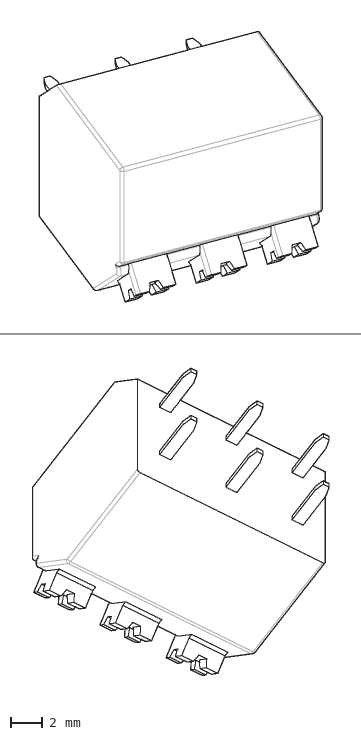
import cadquery as cq
import math

length = 17.3
width = 14.2
height = 12.7

pitch = 5.0
pole_count = 3
pole_positions = [(i - (pole_count - 1) / 2) * pitch for i in range(pole_count)]

body_left = 3.5
body_right = 16.44
top_chamfer = 2.92
slope_start = 12.13
notch_top = 5.12
edge_radius = 0.2
nose_radius = 0.52
heel_radius = 0.4

pin_width = 0.83
pin_thickness = 0.38
pin_tip_width = 0.45
pin_taper = 0.67
pin_embed = 0.67
pin_low_z = 3.13
pin_heights = [pin_low_z, pin_low_z + pitch]

lever_out = 1.49
lever_width = 2.73
lever_height = 2.7
lever_undercut = 0.25
lever_embed = 1.04
lever_edge_radius = 0.25
lever_top = (length - slope_start) * math.sqrt(2) - lever_out
lever_bottom = lever_top - lever_height
lever_wall_gap = 0.09

slot_mouth = 0.97
slot_floor = 0.59
slot_depth = 0.54
slot_below_top = 1.12
slot_centre = lever_top - slot_below_top

slope_plane = cq.Plane(origin=(slope_start, 0, 0), xDir=(1, 0, -1), normal=(0, -1, 0))


def make_body():
    """Housing with a chamfered top, a sloped underside and a notch above the levers."""
    lower_wall = slope_start + (lever_top - lever_wall_gap) * math.sqrt(2)
    upper_wall = body_right - notch_top
    corner = ((lower_wall + upper_wall) / 2, (lower_wall - upper_wall) / 2)
    nose = ((lower_wall + slope_start) / 2, (lower_wall - slope_start) / 2)
    outline = [
        (body_left, 0),
        (slope_start, 0),
        nose,
        corner,
        (body_right, notch_top),
        (body_right, height),
        (body_left + top_chamfer, height),
        (body_left, height - top_chamfer),
    ]
    body = cq.Workplane("XZ").polyline(outline).close().extrude(width / 2, both=True)

    def cross_edge(point):
        return cq.selectors.NearestToPointSelector((point[0], 0, point[1]))

    body = body.edges(cross_edge(nose)).fillet(nose_radius)
    body = body.edges(cross_edge((slope_start, 0))).fillet(heel_radius)
    for point in [(body_right, notch_top), (body_right, height)]:
        body = body.edges(cross_edge(point)).fillet(edge_radius)

    sharp_limit = body_left + top_chamfer
    rounded = [
        edge
        for edge in body.faces("<Y or >Y").edges().vals()
        if edge.Center().x > sharp_limit
    ]
    return body.newObject(rounded).fillet(edge_radius)


def make_pin(y, z):
    """Flat pin along X with a tapered tip."""
    half = pin_width / 2
    tip_half = pin_tip_width / 2
    outline = [
        (0, y - tip_half),
        (pin_taper, y - half),
        (body_left + pin_embed, y - half),
        (body_left + pin_embed, y + half),
        (pin_taper, y + half),
        (0, y + tip_half),
    ]
    bottom = cq.Workplane("XY", origin=(0, 0, z - pin_thickness / 2))
    return bottom.polyline(outline).close().extrude(pin_thickness)


def slot_outline(centre):
    """Tapered slot section opening at the lever end."""
    return [
        (lever_out, centre - slot_mouth / 2),
        (lever_out - slot_depth, centre - slot_floor / 2),
        (lever_out - slot_depth, centre + slot_floor / 2),
        (lever_out, centre + slot_mouth / 2),
    ]


def make_lever():
    """Release lever at Y = 0, standing square to the slope."""
    outline = [
        (-lever_embed, lever_top),
        (lever_out, lever_top),
        (lever_out, lever_bottom),
        (lever_undercut, lever_bottom),
        (0, lever_bottom - lever_undercut),
        (-lever_embed, lever_bottom - lever_undercut),
    ]
    lever = cq.Workplane(slope_plane).polyline(outline).close().extrude(lever_width / 2, both=True)
    edge_middle = slope_plane.toWorldCoords(((lever_out - lever_embed) / 2, lever_top, lever_width / 2))
    lever = lever.edges(cq.selectors.NearestToPointSelector(edge_middle.toTuple())).fillet(lever_edge_radius)

    across = cq.Workplane(slope_plane).polyline(slot_outline(slot_centre)).close()
    lever = lever.cut(across.extrude(lever_width, both=True))

    along_plane = cq.Plane(origin=(slope_start, 0, 0), xDir=(1, 0, -1), normal=(1, 0, 1))
    along = cq.Workplane(along_plane).polyline(slot_outline(0)).close()
    return lever.cut(along.extrude(lever_top + lever_height))


result = make_body()
lever_shape = make_lever()
for pole_y in pole_positions:
    result = result.union(lever_shape.translate((0, pole_y, 0)))
    for pin_z in pin_heights:
        result = result.union(make_pin(pole_y, pin_z))